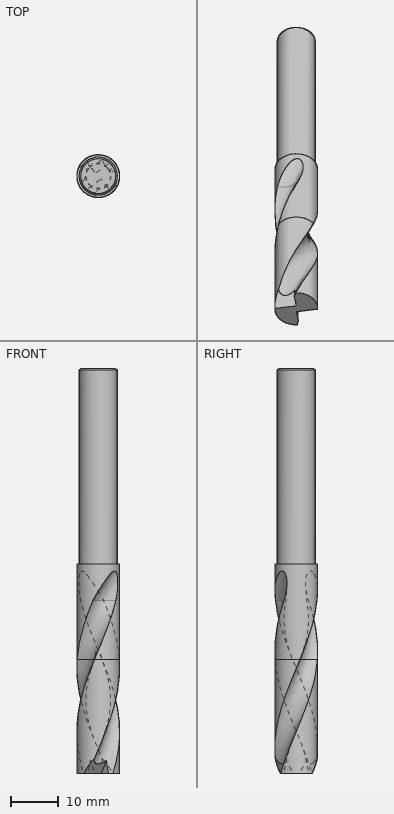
import cadquery as cq
import math

total_length = 85.0
cutting_diameter = 9.0
shank_diameter = 8.0
shoulder_height = 44.0
joint_height = 24.0
top_chamfer = 0.3

flute_count = 2
flute_pitch = 68.0
flute_half_angle = 35.0
core_radius = 2.55
flute_center_angle = -82.0
flute_helix_end = 36.4
flute_top = 42.5
runout_sideways = 3.8
end_clearance = 0.85

gash_outer_corner = cq.Vector(-3.1, -3.3, 0)
gash_inner_corner = cq.Vector(0.6, -0.6, 0)
gash_top_point = cq.Vector(-0.7, -4.4, 3.3)
gash_tool_size = 10.2

cutting_radius = cutting_diameter / 2
half_opening = cutting_radius * math.sin(math.radians(flute_half_angle))
edge_distance = cutting_radius * math.cos(math.radians(flute_half_angle))
flute_depth = edge_distance - core_radius
flute_radius = (flute_depth**2 + half_opening**2) / (2 * flute_depth)
flute_offset = core_radius + flute_radius


def flute_circle(height):
    """Flute cross-section at a height, centered in the +X direction."""
    return cq.Workplane("XY", origin=(0, 0, height)).moveTo(flute_offset, 0).circle(flute_radius)


def helical_cutter():
    """Helical length of one flute, turned to its place."""
    length = flute_helix_end + end_clearance
    cutter = flute_circle(-end_clearance).twistExtrude(length, 360 * length / flute_pitch)
    start_angle = flute_center_angle - 360 * end_clearance / flute_pitch
    return cutter.rotate((0, 0, 0), (0, 0, 1), start_angle)


def runout_cutter():
    """Straight, outward sloping end of one flute, leaving the drill at flute_top."""
    leaving_distance = cutting_radius + flute_radius
    outward = math.sqrt(leaving_distance**2 - runout_sideways**2) - flute_offset
    rise = flute_top - flute_helix_end
    section = cq.Face.makeFromWires(flute_circle(flute_helix_end).ctx.pendingWires[0])
    cutter = cq.Solid.extrudeLinear(section, cq.Vector(outward, runout_sideways, rise))
    end_angle = flute_center_angle + 360 * flute_helix_end / flute_pitch
    return cq.Workplane(cutter).rotate((0, 0, 0), (0, 0, 1), end_angle)


def gash_cutter():
    """Block whose inner face is the gash plane and whose side ends the gash."""
    along_end = gash_inner_corner - gash_outer_corner
    outward = along_end.cross(gash_top_point - gash_outer_corner)
    gash_plane = cq.Plane(origin=gash_inner_corner, xDir=along_end, normal=outward)
    return (
        cq.Workplane(gash_plane)
        .center(-gash_tool_size / 2, 0)
        .rect(gash_tool_size, 2 * gash_tool_size)
        .extrude(gash_tool_size)
    )


def cut_around(body, cutter):
    """Cut one copy of the cutter for every flute."""
    for index in range(flute_count):
        body = body.cut(cutter.rotate((0, 0, 0), (0, 0, 1), 360 / flute_count * index))
    return body


def make_cutting_tip():
    tip = cq.Workplane("XY").circle(cutting_radius).extrude(joint_height)
    tip = cut_around(tip, helical_cutter())
    return cut_around(tip, gash_cutter())


def make_shank():
    shank = (
        cq.Workplane("XY", origin=(0, 0, joint_height))
        .circle(cutting_radius)
        .extrude(shoulder_height - joint_height)
        .faces(">Z")
        .workplane()
        .circle(shank_diameter / 2)
        .extrude(total_length - shoulder_height)
        .faces(">Z")
        .chamfer(top_chamfer)
    )
    shank = cut_around(shank, helical_cutter())
    return cut_around(shank, runout_cutter())


cutting_tip = make_cutting_tip()
shank = make_shank()

result = cq.Compound.makeCompound([cutting_tip.val(), shank.val()])